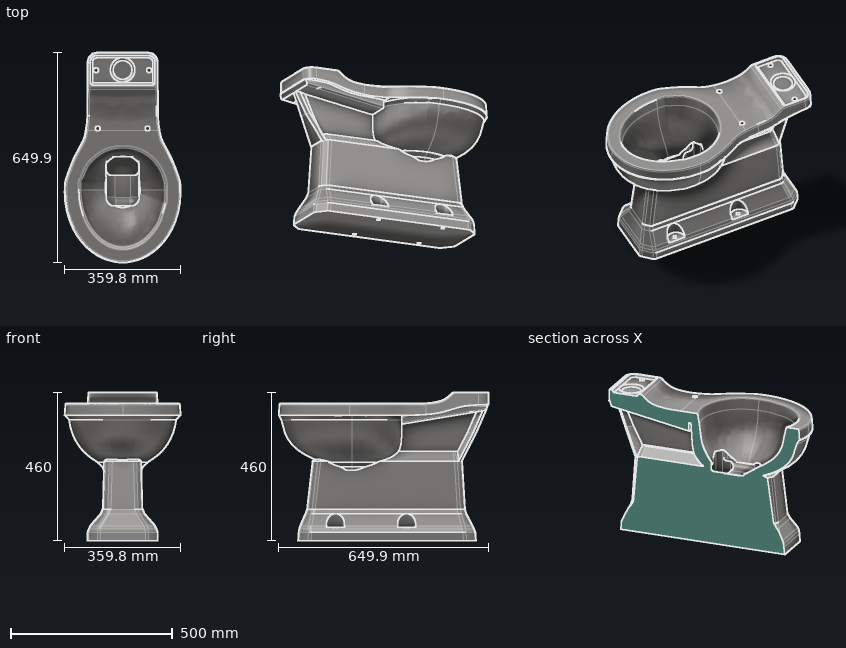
import cadquery as cq
import math

ARC_STEPS = 12
OVERLAP = 0.5

RIM_HALF_WIDTH = 359.77 / 2
PART_LENGTH = 649.94
PART_HEIGHT = 460.0

RIM_TOP = 425.0
RIM_BOTTOM = 388.0
RIM_CENTRE_Y = -432.0
DECK_HALF_WIDTH = 111.5
DECK_CORNER_RADIUS = 32.0
DECK_WAIST_HALF_WIDTH = 110.0
DECK_WAIST_Y = -195.0
DECK_DRAFT = 5.5
DECK_SWELL = [
    (115.0, -244.0),
    (121.0, -268.0),
    (138.0, -301.0),
    (158.0, -342.0),
    (173.0, -383.0),
]
DECK_RIDGE_Y = -104.0
DECK_RIDGE_RADIUS = 14.5
DECK_RIDGE_ANGLE = math.radians(43.5)
DECK_RAMP = [(-132.0, 441.0), (-160.0, 429.5), (-195.0, 425.6)]
DECK_RAMP_END_Y = -240.0
TOP_EDGE_RADIUS = 4.0

DECK_SIDE_EDGE = [
    (-2.0, 422.0),
    (-30.0, 421.0),
    (-80.0, 416.0),
    (-144.0, 398.0),
    (-198.0, 390.5),
    (-275.0, 388.5),
]

UNDERSIDE_HALF_WIDTH = 94.0
UNDERSIDE_EDGE_RADIUS = 6.0
UNDERSIDE_TOP = (-144.0, 424.0)
UNDERSIDE_BACK = (-8.0, 404.0)
UNDERSIDE_FRONT = (-269.0, 361.0)

BOWL_SHELL = [
    (375.0, 166.0, -642.0, -268.0),
    (330.0, 155.0, -629.0, -269.0),
    (289.0, 132.0, -600.0, -273.0),
    (258.0, 100.0, -552.0, -290.0),
    (230.0, 56.0, -490.0, -325.0),
]
BOWL_FLARE = [
    (243.0, 78.0, -528.0, -306.0),
    (229.0, 63.0, -515.0, -318.0),
    (215.0, 57.0, -505.0, -330.0),
]
COLLAR_INSET = 1.0
BOWL_CENTRE_Y = -424.0

MOUTH_HALF_WIDTH = 136.0
MOUTH_FRONT_Y = -608.0
MOUTH_BACK_Y = -289.0
MOUTH_EDGE_RADIUS = 3.0
BOWL_INSIDE = [
    (390.0, 130.0, -601.0, -294.0),
    (350.0, 123.0, -592.0, -298.0),
    (310.0, 105.0, -565.0, -305.0),
    (274.0, 78.0, -517.0, -317.0),
    (240.0, 54.0, -480.0, -321.0),
]
SUMP_TOP = BOWL_INSIDE[-2][0]
SUMP_FLOOR = 222.0
SUMP_HALF_WIDTH = 52.0
SUMP_FRONT_Y = -476.0
SUMP_BACK_Y = -323.0
SUMP_FLOOR_RADIUS = 28.0
SUMP_RADIUS = 30.0
TRAP_FLOOR = 195.0
TRAP_HALF_WIDTH = 50.0
TRAP_FRONT_Y = -380.0
TRAP_RADIUS = 15.0

WEB_HALF_WIDTH = 12.0
WEB_BACK_SECTIONS = [
    (245.0, -84.0, 50.0),
    (335.0, -38.0, 27.0),
    (404.0, -8.0, 17.0),
]
WEB_EDGE_CUT = 10.0
WEB_WALL_DEPTH = 28.0
WEB_FRONT_Y = -330.0

LEDGE_TOP = 277.0
LEDGE_TOP_HALF_WIDTH = 20.0
LEDGE_CORNER_CUT = 12.0
LEDGE_CORNER_RADIUS = 8.0
LEDGE_BACK_Y = -95.0
LEDGE_FRONT_Y = -490.0

PEDESTAL_BOTTOM = 98.5
PEDESTAL_TOP = 247.0
PEDESTAL_SECTIONS = [
    (PEDESTAL_BOTTOM, 61.5, -562.0, -73.0, 19.0),
    (PEDESTAL_TOP, 57.5, -545.0, -82.0, 19.0),
]
CORNER_RADIUS = 14.0
PLINTH_SECTIONS = [
    (0.0, 109.0, -590.0, -39.0, 34.0),
    (27.0, 109.0, -588.0, -41.0, 34.0),
    (37.0, 105.0, -586.5, -45.0, 31.0),
    (47.5, 100.0, -583.0, -50.0, 29.0),
    (84.0, 68.0, -567.0, -69.0, 20.0),
    (PEDESTAL_BOTTOM, 62.5, -562.0, -73.0, 19.0),
]

FIXING_YS = (-254.0, -474.0)
FIXING_POCKET_RADIUS = 28.0
FIXING_POCKET_X = 96.0
FIXING_POCKET_FLOOR = 42.0
FIXING_HOLE_X = 87.0
FIXING_HOLE_RADIUS = 5.0

SEAT_HALF_WIDTH = 100.0
SEAT_BACK_Y = -10.0
SEAT_FRONT_Y = -101.0
SEAT_DEPTH = 8.0
SEAT_WALL_INSET = 7.0
SEAT_BACK_RADIUS = 20.0
SEAT_FRONT_RADIUS = 9.0
TANK_HOLE_X = 82.0
TANK_HOLE_Y = -55.0
TANK_HOLE_RADIUS = 7.5
INLET_Y = -54.0
INLET_TOP_RADIUS = 38.0
INLET_BOTTOM_RADIUS = 29.0
INLET_DEPTH = 6.0
DECK_HOLE_BOTTOM = 400.0
LID_HOLE_X = 77.0
LID_HOLE_Y = -235.0
LID_HOLE_RADIUS = 7.5


def half_ellipse(z, half_width, length, side):
    """Half ellipse edge across the bowl centre; side is 1 for the back half, -1 for the front half."""
    points = []
    for i in range(ARC_STEPS + 1):
        angle = math.pi * i / ARC_STEPS
        x = side * half_width * math.cos(angle)
        y = BOWL_CENTRE_Y + side * length * math.sin(angle)
        points.append(cq.Vector(x, y, z))
    tangents = [cq.Vector(0, side, 0), cq.Vector(0, -side, 0)]
    return cq.Edge.makeSpline(points, tangents=tangents)


def egg(z, half_width, front_y, back_y):
    """Oval wire made of two half ellipses that meet at the widest point."""
    back = half_ellipse(z, half_width, back_y - BOWL_CENTRE_Y, 1)
    front = half_ellipse(z, half_width, BOWL_CENTRE_Y - front_y, -1)
    return cq.Wire.assembleEdges([back, front])


def egg_loft(sections, ruled=False):
    return cq.Workplane(cq.Solid.makeLoft([egg(*section) for section in sections], ruled))


def mirrored_polygon(z, right):
    """Closed polygon at height z from the corners of its right half, listed front to back."""
    left = [(-x, y) for x, y in reversed(right)]
    return cq.Wire.makePolygon([cq.Vector(x, y, z) for x, y in right + left], close=True)


def octagon(z, half_width, front_y, back_y, cut, radius=CORNER_RADIUS):
    """Rectangular wire with four cut corners, rounded where the cuts meet the sides."""
    right = [
        (half_width - cut, front_y),
        (half_width, front_y + cut),
        (half_width, back_y - cut),
        (half_width - cut, back_y),
    ]
    wire = mirrored_polygon(z, right)
    return wire.fillet2D(radius, wire.Vertices())


def octagon_loft(sections):
    wires = [octagon(*section) for section in sections]
    return cq.Workplane(cq.Solid.makeLoft(wires, True))


def deck_outline(z, inset):
    """Plan outline: straight tank deck that swells into the oval rim; the back edge is never inset."""
    half = DECK_HALF_WIDTH - inset
    waist = DECK_WAIST_HALF_WIDTH - inset
    rim = RIM_HALF_WIDTH - inset
    nose = PART_LENGTH + RIM_CENTRE_Y - inset
    r = DECK_CORNER_RADIUS
    mid = r * (1 - math.sqrt(0.5))
    swell = [(x - inset, y) for x, y in DECK_SWELL]
    quarter = [math.pi / 2 * i / ARC_STEPS for i in range(1, ARC_STEPS + 1)]
    front = [(rim * math.cos(a), RIM_CENTRE_Y - nose * math.sin(a)) for a in quarter]

    def spline(points, start, end):
        return cq.Edge.makeSpline(
            [cq.Vector(x, y, z) for x, y in points],
            tangents=[cq.Vector(*start), cq.Vector(*end)],
        )

    right = [
        cq.Edge.makeLine(cq.Vector(0, 0, z), cq.Vector(half - r, 0, z)),
        cq.Edge.makeThreePointArc(
            cq.Vector(half - r, 0, z), cq.Vector(half - mid, -mid, z), cq.Vector(half, -r, z)
        ),
        cq.Edge.makeLine(cq.Vector(half, -r, z), cq.Vector(waist, DECK_WAIST_Y, z)),
        spline([(waist, DECK_WAIST_Y)] + swell + [(rim, RIM_CENTRE_Y)], (0, -1), (0, -1)),
        spline([(rim, RIM_CENTRE_Y)] + front, (0, -1), (-1, 0)),
    ]
    left = [edge.mirror("YZ") for edge in right]
    return cq.Wire.assembleEdges(right + left[::-1])


def side_profile(start):
    """Sketch seen along X, wide enough to cut right across the part."""
    return cq.Workplane("YZ", origin=(-PART_LENGTH / 2, 0, 0)).moveTo(*start)


def below_deck():
    """Space under the curved lower edge of the deck."""
    return (
        side_profile((0, RIM_BOTTOM - 1))
        .lineTo(0, DECK_SIDE_EDGE[0][1])
        .lineTo(*DECK_SIDE_EDGE[0])
        .spline(DECK_SIDE_EDGE[1:], includeCurrent=True)
        .lineTo(DECK_SIDE_EDGE[-1][0], RIM_BOTTOM - 1)
        .close()
        .extrude(PART_LENGTH)
    )


def ridge_point(angle):
    """Point (Y, Z) on the rounded ridge where the tank deck turns down into the ramp."""
    y = DECK_RIDGE_Y - DECK_RIDGE_RADIUS * math.sin(angle)
    return (y, PART_HEIGHT - DECK_RIDGE_RADIUS * (1 - math.cos(angle)))


def deck():
    low = deck_outline(RIM_BOTTOM, 0)
    high = deck_outline(PART_HEIGHT, DECK_DRAFT)
    slab = cq.Workplane(cq.Solid.makeLoft([low, high], True))
    ramp_start = (-math.cos(DECK_RIDGE_ANGLE), -math.sin(DECK_RIDGE_ANGLE))
    above = (
        side_profile((DECK_RIDGE_Y, PART_HEIGHT))
        .threePointArc(ridge_point(DECK_RIDGE_ANGLE / 2), ridge_point(DECK_RIDGE_ANGLE))
        .spline(DECK_RAMP + [(DECK_RAMP_END_Y, RIM_TOP)], tangents=[ramp_start, (-1, 0)],
                includeCurrent=True)
        .lineTo(-PART_LENGTH, RIM_TOP)
        .lineTo(-PART_LENGTH, PART_HEIGHT)
        .close()
        .extrude(PART_LENGTH)
    )
    top_edges = cq.selectors.BoxSelector(
        (-PART_LENGTH, -PART_LENGTH, RIM_TOP - OVERLAP), (PART_LENGTH, PART_LENGTH, PART_HEIGHT + OVERLAP)
    )
    return slab.cut(above).edges(top_edges).edges("not |X").fillet(TOP_EDGE_RADIUS).cut(below_deck())


def underside():
    """Narrower block under the deck; its floor drops from the back to the bowl."""
    back_y, front_y = UNDERSIDE_BACK[0], UNDERSIDE_FRONT[0]
    block = (
        cq.Workplane("YZ", origin=(-UNDERSIDE_HALF_WIDTH, 0, 0))
        .moveTo(*DECK_SIDE_EDGE[0])
        .lineTo(*UNDERSIDE_BACK)
        .lineTo(*UNDERSIDE_FRONT)
        .lineTo(front_y, RIM_BOTTOM + OVERLAP)
        .lineTo(*UNDERSIDE_TOP)
        .close()
        .extrude(2 * UNDERSIDE_HALF_WIDTH)
    )
    floor_edges = cq.selectors.BoxSelector(
        (-PART_LENGTH, front_y + 1, 0), (PART_LENGTH, back_y, RIM_TOP)
    )
    return block.edges(floor_edges).fillet(UNDERSIDE_EDGE_RADIUS)


def web_section(z, back_y, wall_half):
    """Thin web that spreads into a wider back wall with cut edges."""
    right = [
        (wall_half - WEB_EDGE_CUT, back_y),
        (wall_half, back_y - WEB_EDGE_CUT),
        (WEB_HALF_WIDTH, back_y - WEB_WALL_DEPTH),
        (WEB_HALF_WIDTH, WEB_FRONT_Y),
    ]
    return mirrored_polygon(z, right)


def web():
    wires = [web_section(*section) for section in WEB_BACK_SECTIONS]
    return cq.Workplane(cq.Solid.makeLoft(wires, True))


def ledge():
    base = PEDESTAL_SECTIONS[-1]
    top = (
        LEDGE_TOP, LEDGE_TOP_HALF_WIDTH, LEDGE_FRONT_Y, LEDGE_BACK_Y, LEDGE_CORNER_CUT, LEDGE_CORNER_RADIUS,
    )
    return octagon_loft([base, top])


def collar():
    """Sloped band under the rim, kept inside the plan outline of the deck."""
    base = BOWL_SHELL[0]
    base_z, base_back_y = base[0], base[-1]
    top = (RIM_BOTTOM + OVERLAP, RIM_HALF_WIDTH - COLLAR_INSET, COLLAR_INSET - PART_LENGTH, base_back_y)
    low = deck_outline(base_z - OVERLAP, COLLAR_INSET)
    high = deck_outline(RIM_BOTTOM + 2 * OVERLAP, COLLAR_INSET)
    within_deck = cq.Workplane(cq.Solid.makeLoft([low, high], True))
    return egg_loft([top, base], True).intersect(within_deck)


def rounded_box(half_width, front_y, back_y, floor, top, radius):
    return (
        cq.Workplane("XY", origin=(0, (front_y + back_y) / 2, floor))
        .rect(2 * half_width, back_y - front_y)
        .extrude(top - floor)
        .edges("|Z")
        .fillet(radius)
    )


def sump():
    box = rounded_box(SUMP_HALF_WIDTH, SUMP_FRONT_Y, SUMP_BACK_Y, SUMP_FLOOR, SUMP_TOP, SUMP_RADIUS)
    box = box.faces("<Z").edges().fillet(SUMP_FLOOR_RADIUS)
    trap = rounded_box(TRAP_HALF_WIDTH, TRAP_FRONT_Y, SUMP_BACK_Y, TRAP_FLOOR, SUMP_TOP, TRAP_RADIUS)
    return box.union(trap)


def bowl_cavity():
    rim = (RIM_TOP, MOUTH_HALF_WIDTH, MOUTH_FRONT_Y, MOUTH_BACK_Y)
    mouth = egg_loft([rim, BOWL_INSIDE[0]], True)
    return mouth.union(egg_loft(BOWL_INSIDE)).union(sump())


def fixing(side, y):
    """Round-backed pocket in the plinth slope, open to the outside, with a screw hole in its floor."""
    pocket = (
        cq.Workplane("XY", origin=(side * FIXING_POCKET_X, y, FIXING_POCKET_FLOOR))
        .circle(FIXING_POCKET_RADIUS)
        .extrude(PEDESTAL_BOTTOM - FIXING_POCKET_FLOOR)
    )
    hole = cq.Workplane("XY", origin=(side * FIXING_HOLE_X, y, 0)).circle(FIXING_HOLE_RADIUS)
    return pocket.union(hole.extrude(FIXING_POCKET_FLOOR))


def seat_outline(z, inset):
    """Rectangle with large back corner radii and small front ones."""
    half = SEAT_HALF_WIDTH - inset
    front_y = SEAT_FRONT_Y + inset
    back_y = SEAT_BACK_Y - inset
    wire = mirrored_polygon(z, [(half, front_y), (half, back_y)])
    back_corners = [v for v in wire.Vertices() if v.Y > (front_y + back_y) / 2]
    wire = wire.fillet2D(SEAT_BACK_RADIUS - inset, back_corners)
    front_corners = [v for v in wire.Vertices() if v.Y < front_y + OVERLAP]
    return wire.fillet2D(SEAT_FRONT_RADIUS - inset, front_corners)


def seat_recess():
    top = seat_outline(PART_HEIGHT, 0)
    floor = seat_outline(PART_HEIGHT - SEAT_DEPTH, SEAT_WALL_INSET)
    return cq.Workplane(cq.Solid.makeLoft([top, floor], True))


def tank_inlet():
    return (
        cq.Workplane("XY", origin=(0, INLET_Y, PART_HEIGHT - SEAT_DEPTH))
        .circle(INLET_TOP_RADIUS)
        .workplane(offset=-INLET_DEPTH)
        .circle(INLET_BOTTOM_RADIUS)
        .loft()
    )


def deck_hole(x, y, radius):
    """Blind hole into the deck."""
    return cq.Workplane("XY", origin=(x, y, DECK_HOLE_BOTTOM)).circle(radius).extrude(PART_HEIGHT)


body = deck()
pieces = [
    underside(),
    collar(),
    egg_loft(BOWL_SHELL),
    egg_loft(BOWL_FLARE, True),
    web(),
    ledge(),
    octagon_loft(PEDESTAL_SECTIONS),
    octagon_loft(PLINTH_SECTIONS),
]
for piece in pieces:
    body = body.union(piece)

body = body.cut(bowl_cavity())
body = body.cut(seat_recess()).cut(tank_inlet())
for side in (-1, 1):
    body = body.cut(deck_hole(side * TANK_HOLE_X, TANK_HOLE_Y, TANK_HOLE_RADIUS))
    body = body.cut(deck_hole(side * LID_HOLE_X, LID_HOLE_Y, LID_HOLE_RADIUS))
    for y in FIXING_YS:
        body = body.cut(fixing(side, y))

mouth_edges = cq.selectors.BoxSelector(
    (-MOUTH_HALF_WIDTH - OVERLAP, MOUTH_FRONT_Y - OVERLAP, RIM_TOP - OVERLAP),
    (MOUTH_HALF_WIDTH + OVERLAP, MOUTH_BACK_Y + OVERLAP, RIM_TOP + OVERLAP),
)
result = body.edges(mouth_edges).fillet(MOUTH_EDGE_RADIUS)